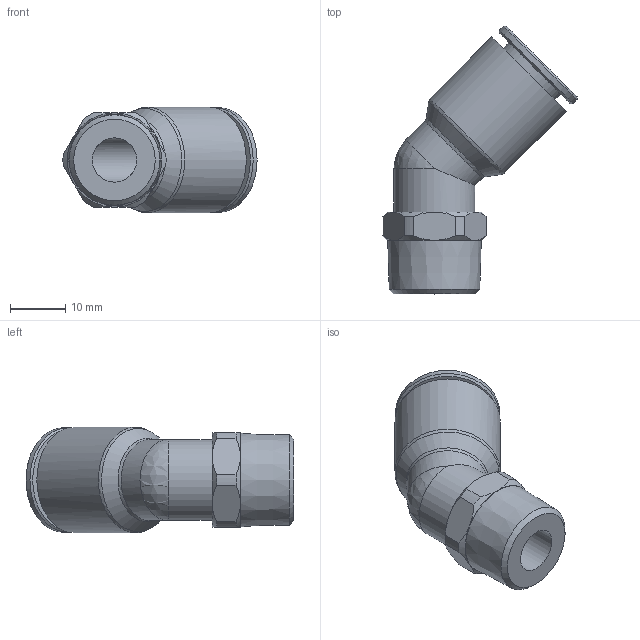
import cadquery as cq
import math

BEND_ANGLE = 45.0
BORE_RADIUS = 4.0
NECK_RADIUS = 7.3

LEG_LENGTH = 22.6
THREAD_LENGTH = 9.65
GAUGE_LENGTH = 6.35
GAUGE_RADIUS = 8.33
THREAD_SLOPE = 1 / 32
THREAD_TIP_RADIUS = 7.35
THREAD_CHAMFER_LENGTH = 0.85

HEX_FLATS = 17.0
HEX_LENGTH = 5.1
HEX_CORNER_RADIUS = 9.3
HEX_CHAMFER = HEX_CORNER_RADIUS - HEX_FLATS / 2

SOCKET_RADIUS = 9.5
SOCKET_CONE_START = 5.15
SOCKET_CONE_ANGLE = 37.0
SOCKET_END = 24.1
SOCKET_CONE_FILLET = 1.0

RING_NECK_RADIUS = 6.55
RING_RADIUS = 9.4
RING_GAP = 1.5
RING_THICKNESS = 1.7
RING_CHAMFER = 0.35


def thread_radius(distance):
    """Radius of the tapered thread at a distance from its tip."""
    return GAUGE_RADIUS + (distance - GAUGE_LENGTH) * THREAD_SLOPE


def revolve_about_y(profile):
    """Turn a closed (radius, y) profile around the Y axis."""
    return profile.close().revolve(360, (0, 0, 0), (0, 1, 0))


def along_tube_leg(body):
    """Swing a body built along +Y onto the tube leg axis."""
    return body.rotate((0, 0, 0), (0, 0, 1), -BEND_ANGLE)


def cylinder_along_y(radius, start, end):
    return cq.Workplane("XZ", origin=(0, start, 0)).circle(radius).extrude(start - end)


def make_thread():
    tip = -LEG_LENGTH
    profile = cq.Workplane("XY").moveTo(0, tip).lineTo(THREAD_TIP_RADIUS, tip)
    for distance in (THREAD_CHAMFER_LENGTH, THREAD_LENGTH):
        profile = profile.lineTo(thread_radius(distance), tip + distance)
    return revolve_about_y(profile.lineTo(0, tip + THREAD_LENGTH))


def make_hex():
    start = THREAD_LENGTH - LEG_LENGTH
    end = start + HEX_LENGTH
    corner_diameter = HEX_FLATS / math.cos(math.pi / 6)
    prism = (
        cq.Workplane("XZ", origin=(0, start, 0))
        .polygon(6, corner_diameter)
        .extrude(-HEX_LENGTH)
    )
    turned_blank = cylinder_along_y(HEX_CORNER_RADIUS, start, end).edges().chamfer(HEX_CHAMFER)
    return prism.intersect(turned_blank)


def make_neck():
    """Straight neck with a ball that rounds the outer side of the bend."""
    straight = cylinder_along_y(NECK_RADIUS, THREAD_LENGTH - LEG_LENGTH, 0)
    return straight.union(cq.Workplane("XY").sphere(NECK_RADIUS))


def make_tube_leg():
    cone_rise = SOCKET_RADIUS - NECK_RADIUS
    cone_end = SOCKET_CONE_START + cone_rise / math.tan(math.radians(SOCKET_CONE_ANGLE))
    profile = (
        cq.Workplane("XY")
        .lineTo(NECK_RADIUS, 0)
        .lineTo(NECK_RADIUS, SOCKET_CONE_START)
        .lineTo(SOCKET_RADIUS, cone_end)
        .lineTo(SOCKET_RADIUS, SOCKET_END)
        .lineTo(0, SOCKET_END)
    )
    leg = revolve_about_y(profile)
    cone_edges = leg.edges("%CIRCLE and (not <Y) and (not >Y)")
    return along_tube_leg(cone_edges.fillet(SOCKET_CONE_FILLET))


def make_release_ring():
    flange_start = SOCKET_END + RING_GAP
    flange_end = flange_start + RING_THICKNESS
    neck = cylinder_along_y(RING_NECK_RADIUS, SOCKET_END, flange_start)
    flange = cylinder_along_y(RING_RADIUS, flange_start, flange_end).edges().chamfer(RING_CHAMFER)
    return along_tube_leg(neck.union(flange))


def make_bore():
    """Constant bore through both legs, with a mitred corner at the bend."""
    outlet = SOCKET_END + RING_GAP + RING_THICKNESS
    bend = math.radians(BEND_ANGLE)
    axis = (
        cq.Workplane("XY")
        .moveTo(0, -LEG_LENGTH)
        .lineTo(0, 0)
        .lineTo(outlet * math.sin(bend), outlet * math.cos(bend))
    )
    inlet_circle = cq.Workplane("XZ", origin=(0, -LEG_LENGTH, 0)).circle(BORE_RADIUS)
    return inlet_circle.sweep(axis, transition="right")


body = make_neck()
for section in (make_thread(), make_hex(), make_tube_leg(), make_release_ring()):
    body = body.union(section)
result = body.cut(make_bore())